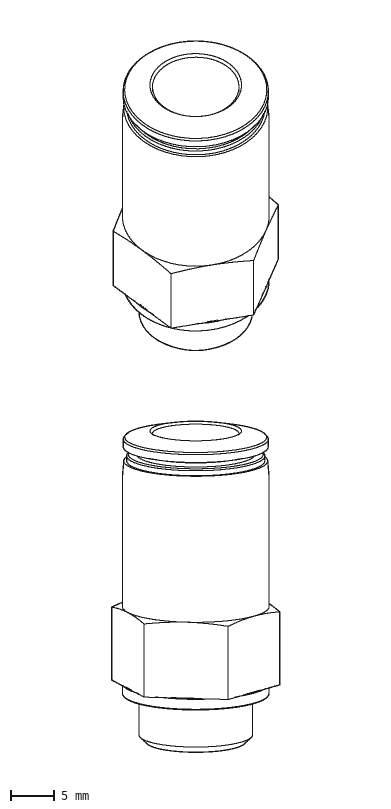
import cadquery as cq
import math

total_height = 36.8
across_flats = 17.0
body_radius = across_flats / 2
corner_radius = across_flats / math.sqrt(3)

stub_radius = 13.17 / 2
stub_chamfer = 0.8
flange_bottom = 5.6
flange_chamfer = 0.1

hex_bottom = 7
hex_top = 16.0
hex_cone_angle = 15
hex_corner_drop = (corner_radius - body_radius) * math.tan(math.radians(hex_cone_angle))

taper_start = 31.3
taper_end = 33.25
taper_end_radius = 16.67 / 2
collar_radius = 16.0 / 2
collar_top = 34.05
collar_chamfer = 0.2

neck_radius = 13.7 / 2
flare_start = 34.5
flare_width = 0.4
head_radius = 16.8 / 2
head_bottom = 34.92
head_side_top = 35.85
head_edge_width = 0.2
head_cone_bottom = 36.05

socket_radius = 10.0 / 2
mouth_chamfer = 0.3
mouth_radius = socket_radius + mouth_chamfer
socket_floor = hex_top
through_radius = 4.8 / 2


def revolve_profile(points):
    """Turn a closed (radius, height) outline around the Z axis."""
    return cq.Workplane("XZ").polyline(points).close().revolve(360, (0, 0), (0, 1))


def turned_body():
    return revolve_profile([
        (0, 0),
        (stub_radius - stub_chamfer, 0),
        (stub_radius, stub_chamfer),
        (stub_radius, flange_bottom),
        (body_radius - flange_chamfer, flange_bottom),
        (body_radius, flange_bottom + flange_chamfer),
        (body_radius, hex_bottom - flange_chamfer),
        (body_radius - flange_chamfer, hex_bottom),
        (body_radius, hex_bottom),
        (body_radius, taper_start),
        (taper_end_radius, taper_end),
        (collar_radius, taper_end),
        (collar_radius, collar_top - collar_chamfer),
        (collar_radius - collar_chamfer, collar_top),
        (neck_radius, collar_top),
        (neck_radius, flare_start),
        (neck_radius + flare_width, head_bottom),
        (head_radius, head_bottom),
        (head_radius, head_side_top),
        (head_radius - head_edge_width, head_cone_bottom),
        (mouth_radius, total_height),
        (0, total_height),
    ])


def hexagon():
    prism = (
        cq.Workplane("XY")
        .workplane(offset=hex_bottom)
        .polygon(6, 2 * corner_radius)
        .extrude(hex_top - hex_bottom)
        .rotate((0, 0, 0), (0, 0, 1), 30)
    )
    cone = revolve_profile([
        (0, hex_bottom),
        (corner_radius, hex_bottom),
        (corner_radius, hex_top - hex_corner_drop),
        (body_radius, hex_top),
        (0, hex_top),
    ])
    return prism.intersect(cone)


def bore():
    return revolve_profile([
        (0, 0),
        (through_radius, 0),
        (through_radius, socket_floor),
        (socket_radius, socket_floor),
        (socket_radius, total_height - mouth_chamfer),
        (mouth_radius, total_height),
        (0, total_height),
    ])


result = turned_body().union(hexagon()).cut(bore())